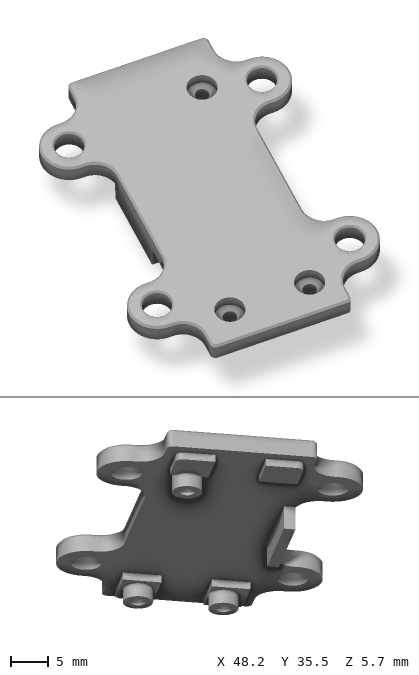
import cadquery as cq

plate_length = 48.25
plate_width = 20.1
plate_thickness = 2.5
total_height = 5.7
corner_radius = 0.7
edge_chamfer = 0.3

overall_width = 35.55
ear_radius = 3.95
ear_x = 14.55
ear_y = overall_width / 2 - ear_radius
ear_fillet = 3.2
ear_hole_diameter = 4.0
ear_hole_chamfer = 0.25

boss_centers = [(-16.35, 6.05), (19.2, 6.05), (19.2, -5.4)]
boss_diameter = 3.95
boss_height = 2.9
screw_hole_diameter = 1.95
counterbore_diameter = 4.1
counterbore_depth = 1.6

pad_height = 1.0
pad_outer_x = 22.5
left_pad_length = 5.05
right_pad_length = 6.05
pad_inner_y = 3.4
pad_outer_y = 8.55
pad_radius = 0.9

rib_start_x = -8.1
rib_end_x = 4.3
rib_end_inset = 0.15
rib_thickness = 1.55

plate_top = total_height
plate_bottom = plate_top - plate_thickness


def make_plate():
    """Rounded plate blended into the ears, with its top outline chamfered."""
    plate = cq.Workplane("XY").rect(plate_length, plate_width).extrude(plate_thickness)
    plate = plate.edges("|Z").fillet(corner_radius)
    for x in (-ear_x, ear_x):
        tab = cq.Workplane("XY").center(x, 0).slot2D(overall_width, 2 * ear_radius, 90)
        plate = plate.union(tab.extrude(plate_thickness))

    reach = 0.05
    for x in (-ear_x, ear_x):
        for side in (-1, 1):
            y = side * plate_width / 2
            for flank_x in (x - ear_radius, x + ear_radius):
                corner = cq.selectors.BoxSelector(
                    (flank_x - reach, y - reach, 0),
                    (flank_x + reach, y + reach, plate_thickness),
                )
                plate = plate.edges(corner).edges("|Z").fillet(ear_fillet)

    plate = plate.faces(">Z").edges().chamfer(edge_chamfer)
    return plate.translate((0, 0, plate_bottom))


def make_pad(side_x, side_y, length):
    """Support pad under one plate corner, rounded at its outer corner."""
    width = pad_outer_y - pad_inner_y
    pad = (
        cq.Workplane("XY", origin=(0, 0, plate_bottom - pad_height))
        .center(side_x * (pad_outer_x - length / 2), side_y * (pad_inner_y + width / 2))
        .rect(length, width)
        .extrude(pad_height)
    )
    outer_x = ">X" if side_x > 0 else "<X"
    outer_y = ">Y" if side_y > 0 else "<Y"
    return pad.edges("|Z").edges(outer_x).edges(outer_y).fillet(pad_radius)


def make_bosses():
    """Round bosses hanging from the underside of the plate."""
    bosses = cq.Workplane("XY", origin=(0, 0, plate_bottom)).pushPoints(boss_centers)
    return bosses.circle(boss_diameter / 2).extrude(-boss_height)


def make_rib():
    """Downward rib along the -Y side, slightly narrower at its bottom."""
    profile = [
        (rib_start_x, plate_bottom),
        (rib_end_x, plate_bottom),
        (rib_end_x - rib_end_inset, 0),
        (rib_start_x + rib_end_inset, 0),
    ]
    rib = cq.Workplane("XZ", origin=(0, -plate_width / 2, 0)).polyline(profile).close()
    return rib.extrude(-rib_thickness)


body = make_plate().union(make_bosses()).union(make_rib())
for side_y in (-1, 1):
    body = body.union(make_pad(-1, side_y, left_pad_length))
    body = body.union(make_pad(1, side_y, right_pad_length))


def drill(solid, centers, diameter, depth, taper=0):
    """Cut round holes of the given depth down from the plate top; a taper narrows them."""
    holes = cq.Workplane("XY", origin=(0, 0, plate_top)).pushPoints(centers)
    return solid.cut(holes.circle(diameter / 2).extrude(-depth, taper=taper))


body = drill(body, boss_centers, screw_hole_diameter, total_height)
body = drill(body, boss_centers, counterbore_diameter, counterbore_depth)

ear_centers = [(x, y) for x in (-ear_x, ear_x) for y in (-ear_y, ear_y)]
rim_diameter = ear_hole_diameter + 2 * ear_hole_chamfer
body = drill(body, ear_centers, ear_hole_diameter, plate_thickness)
result = drill(body, ear_centers, rim_diameter, ear_hole_chamfer, taper=45)